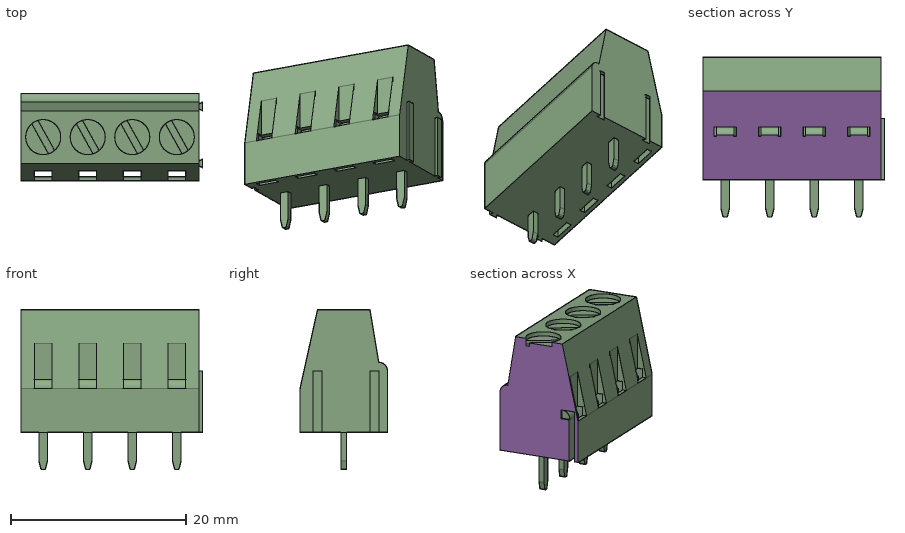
import cadquery as cq

pole_count = 4
pitch = 5.08
length = pole_count * pitch
pole_centers = [(i - (pole_count - 1) / 2) * pitch for i in range(pole_count)]

depth = 10.0
height = 14.0
front_y = -depth / 2
back_y = depth / 2
front_wall_height = 5.0
front_top_inset = 2.0
ledge_height = 8.0
ledge_radius = 1.0
back_top_inset = 2.0

screw_diameter = 4.0
screw_recess = 0.5
driver_slot_width = 0.8
driver_slot_depth = 0.4
driver_slot_angle = -61.0

entry_width = 2.0
entry_top = 10.12
sill_depth = 0.5
cavity_width = 2.5
cavity_height = 6.0
clamp_radius = 1.0
clamp_width = entry_width

dovetail_centers = [3.5, -3.0]
dovetail_height = 7.0
rib_projection = 0.4
rib_root_width = 0.6
rib_outer_width = 1.0
groove_depth = 0.4
groove_mouth_width = 0.57
groove_floor_width = 1.0

pin_width = 1.0
pin_thickness = 0.65
pin_length = 4.25
pin_taper_length = 1.0
pin_tip_width = 0.5
pin_tip_radius = 0.16

slope_run_per_rise = front_top_inset / (height - front_wall_height)
entry_back_y = front_y + (entry_top - front_wall_height) * slope_run_per_rise


def make_housing():
    profile = (
        cq.Workplane("YZ")
        .moveTo(front_y, 0)
        .lineTo(front_y, front_wall_height)
        .lineTo(front_y + front_top_inset, height)
        .lineTo(back_y - back_top_inset, height)
        .lineTo(back_y - ledge_radius, ledge_height)
        .radiusArc((back_y, ledge_height - ledge_radius), ledge_radius)
        .lineTo(back_y, 0)
        .close()
    )
    return profile.extrude(length / 2, both=True)


def make_screw_recess(x):
    recess_floor = height - screw_recess
    screw_radius = screw_diameter / 2
    recess = cq.Workplane("XY", origin=(x, 0, recess_floor)).circle(screw_radius).extrude(screw_recess)
    slot = (
        cq.Workplane("XY", origin=(x, 0, recess_floor - driver_slot_depth))
        .transformed(rotate=(0, 0, driver_slot_angle))
        .rect(screw_diameter, driver_slot_width)
        .extrude(driver_slot_depth)
    )
    slot_limit = (
        cq.Workplane("XY", origin=(x, 0, recess_floor - driver_slot_depth))
        .circle(screw_radius)
        .extrude(driver_slot_depth)
    )
    return recess.union(slot.intersect(slot_limit))


def make_wire_entry(x):
    window = cq.Workplane("XY").box(
        entry_width,
        entry_back_y - front_y,
        entry_top - front_wall_height,
        centered=(True, False, False),
    )
    window = window.translate((x, front_y, front_wall_height))
    clamp_front_top = cavity_height - clamp_radius
    clamp_top_y = entry_back_y + clamp_radius
    cavity = (
        cq.Workplane("YZ", origin=(x, 0, 0))
        .moveTo(front_y + sill_depth, 0)
        .lineTo(front_y + sill_depth, cavity_height)
        .lineTo(clamp_top_y, cavity_height)
        .lineTo(clamp_top_y, clamp_front_top)
        .lineTo(entry_back_y, clamp_front_top)
        .lineTo(entry_back_y, 0)
        .close()
        .extrude(cavity_width / 2, both=True)
    )
    rounded_clamp = (
        cq.Workplane("YZ", origin=(x, 0, 0))
        .moveTo(entry_back_y, clamp_front_top)
        .radiusArc((clamp_top_y, cavity_height), clamp_radius)
        .lineTo(clamp_top_y, clamp_front_top)
        .close()
        .extrude(clamp_width / 2, both=True)
    )
    return window.union(cavity.cut(rounded_clamp))


def make_dovetail(x, y, near_width, far_width, reach):
    """Vertical dovetail bar from x to x + reach, standing on the bottom plane."""
    return (
        cq.Workplane("XY")
        .moveTo(x, y - near_width / 2)
        .lineTo(x + reach, y - far_width / 2)
        .lineTo(x + reach, y + far_width / 2)
        .lineTo(x, y + near_width / 2)
        .close()
        .extrude(dovetail_height)
    )


def make_pin(x):
    taper_start = pin_taper_length - pin_length
    pin = (
        cq.Workplane("XZ", origin=(x, 0, 0))
        .moveTo(-pin_width / 2, 0)
        .lineTo(-pin_width / 2, taper_start)
        .lineTo(-pin_tip_width / 2, -pin_length)
        .lineTo(pin_tip_width / 2, -pin_length)
        .lineTo(pin_width / 2, taper_start)
        .lineTo(pin_width / 2, 0)
        .close()
        .extrude(pin_thickness / 2, both=True)
    )
    tip_edges = cq.selectors.BoxSelector(
        (x - pin_width, -pin_thickness, -pin_length - pin_tip_radius),
        (x + pin_width, pin_thickness, -pin_length + pin_tip_radius),
    )
    return pin.edges(tip_edges).edges("|Y").fillet(pin_tip_radius)


result = make_housing()
for center in pole_centers:
    result = result.cut(make_screw_recess(center))
    result = result.cut(make_wire_entry(center))
    result = result.union(make_pin(center))
for center in dovetail_centers:
    rib = make_dovetail(length / 2, center, rib_root_width, rib_outer_width, rib_projection)
    groove = make_dovetail(-length / 2, center, groove_mouth_width, groove_floor_width, groove_depth)
    result = result.union(rib).cut(groove)